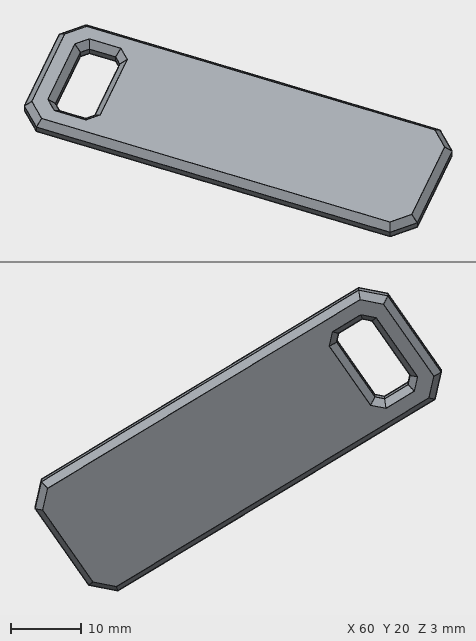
import cadquery as cq

length = 60.0
width = 20.0
thickness = 3.0
corner_cut = 3.0
edge_bevel = 1.0

slot_length = 12.0
slot_width = 6.0
slot_corner_cut = 1.0
slot_margin = 3.0
slot_center_x = -length / 2 + slot_margin + edge_bevel + slot_width / 2


def cut_corner_block(size_x, size_y, cut):
    """Block of the tag's thickness with its four upright corners cut at 45 degrees."""
    block = cq.Workplane("XY").box(size_x, size_y, thickness, centered=(True, True, False))
    return block.edges("|Z").chamfer(cut)


def make_tag():
    """Tag with its slot, bevelled along every edge of the top and bottom faces."""
    body = cut_corner_block(length, width, corner_cut)
    slot = cut_corner_block(slot_width, slot_length, slot_corner_cut)
    tag = body.cut(slot.translate((slot_center_x, 0, 0)))
    return tag.faces("<Z or >Z").edges().chamfer(edge_bevel)


result = make_tag()